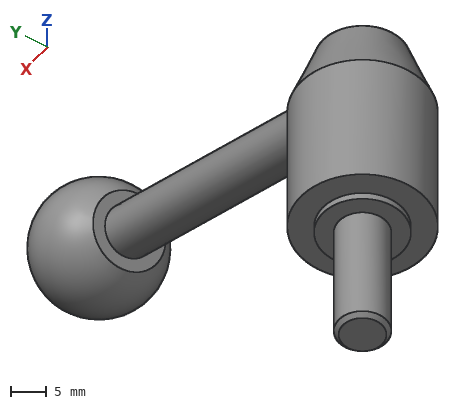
import cadquery as cq
import math

overall_length = 85.5
hub_diameter = 21.0
ball_diameter = 20.0

hub_radius = hub_diameter / 2
hub_straight_height = 22.2
hub_height = 32.5
hub_top_diameter = 13.5
collar_diameter = 13.5
collar_height = 1.1

stud_diameter = 8.0
stud_bottom = -20.95
stud_chamfer = 0.7

arm_diameter = 8.0
arm_angle = 20.0
ball_radius = ball_diameter / 2
ball_flat_diameter = 12.0
ball_center_x = overall_length - hub_radius - ball_radius
ball_center_z = 47.9


def make_hub():
    profile = [
        (0, -collar_height),
        (collar_diameter / 2, -collar_height),
        (collar_diameter / 2, 0),
        (hub_radius, 0),
        (hub_radius, hub_straight_height),
        (hub_top_diameter / 2, hub_height),
        (0, hub_height),
    ]
    return cq.Workplane("XZ").polyline(profile).close().revolve(360, (0, 0), (0, 1))


def make_stud():
    stud = cq.Workplane("XY").workplane(offset=stud_bottom).circle(stud_diameter / 2).extrude(-stud_bottom)
    return stud.faces("<Z").chamfer(stud_chamfer)


def make_arm_and_ball():
    angle = math.radians(arm_angle)
    arm_plane = cq.Plane(
        origin=(ball_center_x, 0, ball_center_z),
        xDir=(0, 1, 0),
        normal=(math.cos(angle), 0, math.sin(angle)),
    )
    arm_length = ball_center_x / math.cos(angle)
    arm = cq.Workplane(arm_plane).circle(arm_diameter / 2).extrude(-arm_length)

    flat_distance = math.sqrt(ball_radius**2 - (ball_flat_diameter / 2) ** 2)
    kept_side = (
        cq.Workplane(arm_plane)
        .workplane(offset=-flat_distance)
        .rect(2 * ball_diameter, 2 * ball_diameter)
        .extrude(flat_distance + ball_diameter)
    )
    ball = cq.Workplane(arm_plane).sphere(ball_radius).intersect(kept_side)
    return arm.union(ball)


result = make_hub().union(make_stud()).union(make_arm_and_ball())